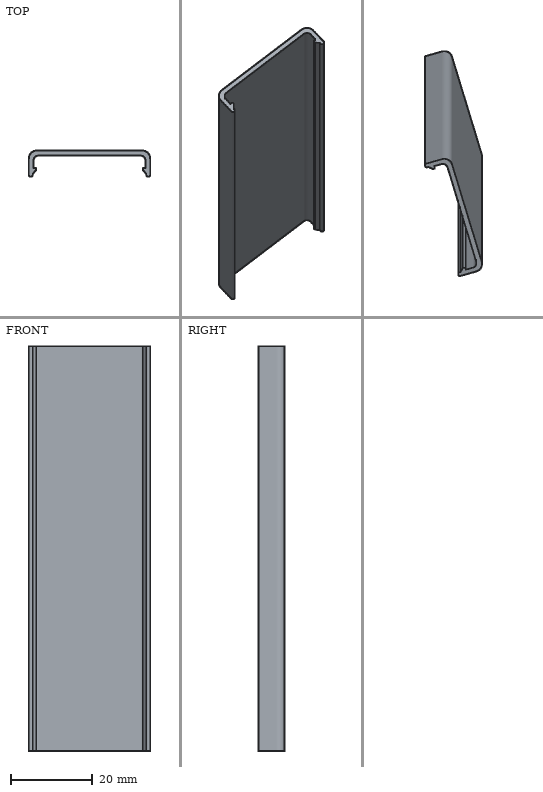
import cadquery as cq

width = 30.0
depth = 6.5
length = 100.0

web_thickness = 1.3
wall_thickness = 1.2
outer_radius = 2.0
inner_radius = 1.2

barb_reach = 0.6
barb_flat = 0.6
barb_start = 2.2
barb_rounding = 0.2
lip_thickness = 1.0
lip_straight = 0.7

half_width = width / 2
web_outside = depth / 2
web_inside = web_outside - web_thickness
wall_inside = half_width - wall_thickness
free_edge = -depth / 2
barb_tip = wall_inside - barb_reach
barb_top = free_edge + barb_start
lip_inside = half_width - lip_thickness
lip_top = free_edge + lip_straight
lip_radius = 0.4


def make_half():
    """Extrude the +X half of the channel with its snap lip."""
    half = (
        cq.Workplane("XY")
        .workplane(offset=-length / 2)
        .moveTo(0, web_outside)
        .lineTo(half_width - outer_radius, web_outside)
        .radiusArc((half_width, web_outside - outer_radius), outer_radius)
        .lineTo(half_width, free_edge + lip_radius)
        .radiusArc((half_width - lip_radius, free_edge), lip_radius)
        .lineTo(lip_inside + lip_radius, free_edge)
        .radiusArc((lip_inside, free_edge + lip_radius), lip_radius)
        .lineTo(lip_inside, lip_top)
        .lineTo(barb_tip, barb_top - barb_flat)
        .lineTo(barb_tip, barb_top)
        .lineTo(wall_inside, barb_top)
        .lineTo(wall_inside, web_inside - inner_radius)
        .radiusArc((wall_inside - inner_radius, web_inside), -inner_radius)
        .lineTo(0, web_inside)
        .close()
        .extrude(length)
    )
    barb_corner = cq.selectors.NearestToPointSelector((barb_tip, barb_top, 0))
    return half.edges("|Z").edges(barb_corner).fillet(barb_rounding)


right_half = make_half()
result = right_half.union(right_half.mirror("YZ")).clean()